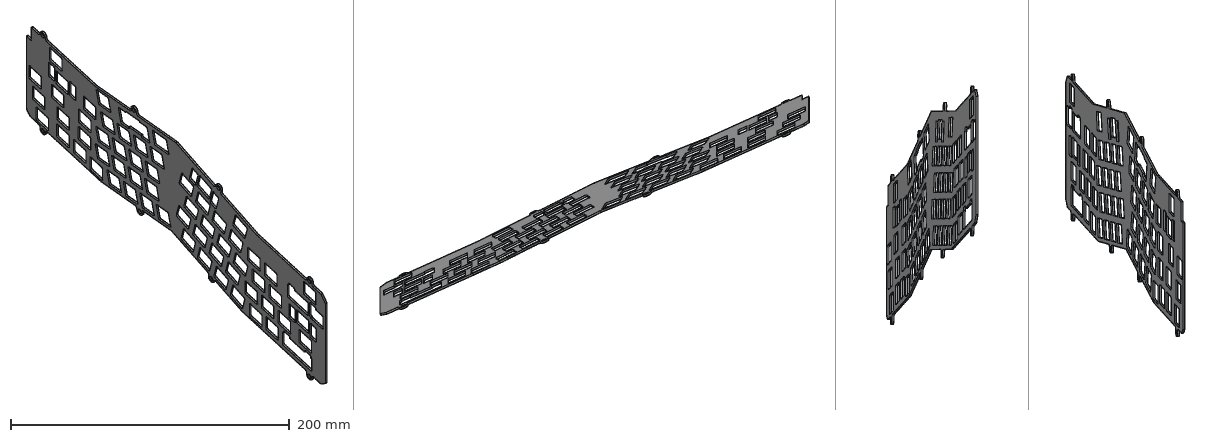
import cadquery as cq
import math


LENGTH = 338.8
HEIGHT = 123.89
THICKNESS = 1.5

UNIT = 19.05
SWITCH = 14.0
CORNER_RADIUS = 1.0
TILT = 12.0
KEY_AXIS = -4.84
STRAIGHT_BASE = 32.15
TILT_START = 1.2
TILT_BASE = 29.4

STAB_WIDTH = 7.0
STAB_HEIGHT = 15.0
STAB_SPACING = 23.88
STAB_SHIFT = 1.5

SLOPE = math.tan(math.radians(TILT))
RIGHT = LENGTH / 2
LEFT = -RIGHT
PEAK_Z = HEIGHT / 2
TOP_HALF_SPAN = 91.4
TOP_Z = PEAK_Z - TOP_HALF_SPAN * SLOPE
BOTTOM_Z = -55.5
BOTTOM_HALF_SPAN = 79.8
VALLEY_Z = BOTTOM_Z + BOTTOM_HALF_SPAN * SLOPE
NOTCH_WIDTH = 5.4
NOTCH_DEPTH = 14.3
LEFT_CHAMFER = 4.1
RIGHT_CHAMFER = 5.1
TOP_CHAMFER_DEPTH = 6.1

EAR_RADIUS = 3.15
EAR_HOLE = 3.53
EAR_FILLET = 1.5
EAR_OVERLAP = 1.0
END_EAR_X = 151.03
INNER_EAR_X = 47.96
END_EAR_TOP_Z = 44.7
END_EAR_BOTTOM_Z = EAR_RADIUS - HEIGHT / 2
INNER_EAR_TOP_Z = 54.9

TOP_EARS = [
    (-END_EAR_X, END_EAR_TOP_Z),
    (-INNER_EAR_X, INNER_EAR_TOP_Z),
    (INNER_EAR_X, INNER_EAR_TOP_Z),
    (END_EAR_X, END_EAR_TOP_Z),
]
BOTTOM_EARS = [
    (-END_EAR_X, END_EAR_BOTTOM_Z),
    (-41.2, -49.4),
    (39.8, -51.0),
    (END_EAR_X, END_EAR_BOTTOM_Z),
]

TILTED_ROWS = [(0, 0.5, 0.5), (1, 1.0, 1.0), (2, 1.25, 0.75), (3, 0.75, 1.25)]
TILTED_KEYS_PER_ROW = 4
SPACE_ROW = -1
RIGHT_SPACE_U = 27.43
LEFT_SPACE_U = 33.7
LEFT_WIDE_U = 2.7
SPACE_STEP = UNIT / 8
OUTER_KEY_U = 68.45
OUTER_KEY_V = 50.0

STRAIGHT_ROWS = [
    (0, [-136.2, 151.4]),
    (1, [-98.0, 88.2, 107.25]),
    (2, [-134.2, -103.5, 93.4, 112.45]),
    (3, [-128.0, -103.7, 103.7, 122.75, 146.4]),
    (4, [-128.15, -109.1, 108.8]),
]
LOOSE_KEYS = [
    (-159.7, -8.1),
    (-155.7, -27.1),
    (-151.5, -46.3),
    (-90.4, -46.3),
    (85.1, -26.0),
    (90.3, -46.3),
]

LONG_KEYS = [
    (-129.05, 1, STAB_SHIFT, [0]),
    (142.9, 1, STAB_SHIFT, [-UNIT / 2, 0, 7 / 8 * UNIT]),
    (143.4, 2, -STAB_SHIFT, [0]),
    (137.3, 4, STAB_SHIFT, [-UNIT / 2, 0, UNIT / 2]),
]


def opening(x, z, width=SWITCH, height=SWITCH):
    """Cutter for one rounded rectangular opening centred on (x, z)."""
    sketch = cq.Sketch().rect(width, height).vertices().fillet(CORNER_RADIUS)
    cutter = cq.Workplane("XZ").placeSketch(sketch).extrude(THICKNESS, both=True)
    return cutter.translate((x, 0, z))


def long_key(x, z, stab_shift, switch_offsets, stab_width=STAB_WIDTH, switch_width=SWITCH):
    """Cutters for the stabilizers and switches of a long key centred on (x, z)."""
    stabs = [
        opening(x + end * STAB_SPACING / 2, z + stab_shift, stab_width, STAB_HEIGHT)
        for end in (-1, 1)
    ]
    switches = [opening(x + offset, z, switch_width) for offset in switch_offsets]
    return stabs + switches


def straight_row_z(row):
    return STRAIGHT_BASE - row * UNIT


def tilted_row_v(row):
    return TILT_BASE - row * UNIT


def straight_cutters():
    """Cutters for every opening that is square to the plate."""
    cutters = [opening(x, straight_row_z(row)) for row, row_xs in STRAIGHT_ROWS for x in row_xs]
    cutters += [opening(x, z) for x, z in LOOSE_KEYS]
    for x, row, stab_shift, switch_offsets in LONG_KEYS:
        cutters += long_key(x, straight_row_z(row), stab_shift, switch_offsets)
    return cutters


def single_tilted_keys(side, first_keys):
    """Single keys of one block, not yet tilted; side is -1 for left and 1 for right."""
    cutters = [opening(side * OUTER_KEY_U, OUTER_KEY_V)]
    for row, first_key in first_keys:
        for key in range(TILTED_KEYS_PER_ROW):
            u = TILT_START + (first_key + key) * UNIT
            cutters.append(opening(side * u, tilted_row_v(row)))
    return cutters


def tilted(cutters, side):
    """Tilt the cutters of one block and move them to the mirror line."""
    return [
        cutter.rotate((0, 0, 0), (0, 1, 0), side * TILT).translate((KEY_AXIS, 0, 0))
        for cutter in cutters
    ]


def left_tilted_cutters():
    cutters = single_tilted_keys(-1, [(row, first) for row, first, _ in TILTED_ROWS])
    space_v = tilted_row_v(SPACE_ROW)
    cutters.append(opening(-LEFT_WIDE_U, space_v, SWITCH + SPACE_STEP))
    cutters += long_key(
        -LEFT_SPACE_U, space_v, -STAB_SHIFT, [0], STAB_WIDTH + SPACE_STEP, SWITCH + SPACE_STEP
    )
    return tilted(cutters, -1)


def right_tilted_cutters():
    cutters = single_tilted_keys(1, [(row, first) for row, _, first in TILTED_ROWS])
    cutters += long_key(RIGHT_SPACE_U, tilted_row_v(SPACE_ROW), -STAB_SHIFT, [0])
    return tilted(cutters, 1)


def sheet():
    """The plate blank without ears and openings."""
    points = [
        (LEFT, BOTTOM_Z + LEFT_CHAMFER),
        (LEFT, TOP_Z - NOTCH_DEPTH),
        (LEFT + NOTCH_WIDTH, TOP_Z - NOTCH_DEPTH),
        (LEFT + NOTCH_WIDTH, TOP_Z),
        (-TOP_HALF_SPAN, TOP_Z),
        (0, PEAK_Z),
        (TOP_HALF_SPAN, TOP_Z),
        (RIGHT - RIGHT_CHAMFER, TOP_Z),
        (RIGHT, TOP_Z - TOP_CHAMFER_DEPTH),
        (RIGHT, BOTTOM_Z + RIGHT_CHAMFER),
        (RIGHT - RIGHT_CHAMFER, BOTTOM_Z),
        (KEY_AXIS + BOTTOM_HALF_SPAN, BOTTOM_Z),
        (KEY_AXIS, VALLEY_Z),
        (KEY_AXIS - BOTTOM_HALF_SPAN, BOTTOM_Z),
        (LEFT + LEFT_CHAMFER, BOTTOM_Z),
    ]
    return cq.Workplane("XZ").polyline(points).close().extrude(THICKNESS / 2, both=True)


def edge_height_and_tilt(x, ridge_x, ridge_z, half_span):
    """Z and slope angle, at x, of a plate edge that falls both ways from a ridge, then runs level."""
    run = x - ridge_x
    if abs(run) >= half_span:
        return ridge_z - half_span * SLOPE, 0
    return ridge_z - abs(run) * SLOPE, -math.copysign(TILT, run)


def ear(x, z, edge_z, edge_tilt, outward):
    """Ear around (x, z) with a filleted foot on the plate edge; outward is 1 for up, -1 for down."""
    stand_off = outward * (z - edge_z) * math.cos(math.radians(edge_tilt))
    foot_half = EAR_RADIUS + EAR_FILLET
    neck = EAR_FILLET - stand_off
    root = -stand_off - EAR_OVERLAP
    bend = EAR_FILLET * (1 - math.sqrt(0.5))
    outline = (
        cq.Workplane("XZ")
        .moveTo(-EAR_RADIUS, 0)
        .threePointArc((0, EAR_RADIUS), (EAR_RADIUS, 0))
        .lineTo(EAR_RADIUS, neck)
        .threePointArc((EAR_RADIUS + bend, bend - stand_off), (foot_half, -stand_off))
        .lineTo(foot_half, root)
        .lineTo(-foot_half, root)
        .lineTo(-foot_half, -stand_off)
        .threePointArc((-EAR_RADIUS - bend, bend - stand_off), (-EAR_RADIUS, neck))
        .close()
    )
    turn = -edge_tilt if outward > 0 else 180 - edge_tilt
    solid = outline.extrude(THICKNESS / 2, both=True)
    return solid.rotate((0, 0, 0), (0, 1, 0), turn).translate((x, 0, z))


def plate_with_ears():
    plate = sheet()
    for x, z in TOP_EARS:
        edge_z, edge_tilt = edge_height_and_tilt(x, 0, PEAK_Z, TOP_HALF_SPAN)
        plate = plate.union(ear(x, z, edge_z, edge_tilt, 1))
    for x, z in BOTTOM_EARS:
        edge_z, edge_tilt = edge_height_and_tilt(x, KEY_AXIS, VALLEY_Z, BOTTOM_HALF_SPAN)
        plate = plate.union(ear(x, z, edge_z, edge_tilt, -1))
    return plate


def ear_hole_cutters():
    holes = cq.Workplane("XZ").pushPoints(TOP_EARS + BOTTOM_EARS).circle(EAR_HOLE / 2)
    return holes.extrude(THICKNESS, both=True)


cutters = straight_cutters() + left_tilted_cutters() + right_tilted_cutters()
plate = plate_with_ears().cut(ear_hole_cutters()).val()
plate = plate.cut(*[cutter.val() for cutter in cutters])
result = cq.Workplane("XY").newObject(plate.Solids())